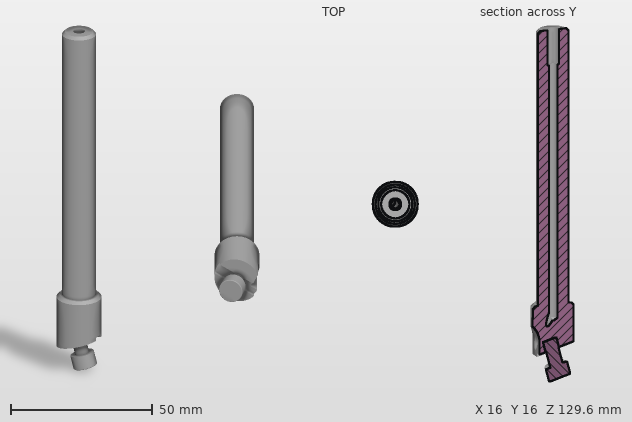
import cadquery as cq
import math

TOTAL_HEIGHT = 129.6
SHANK_DIAMETER = 12.0
SHANK_CHAMFER = 1.0
COLLAR_DIAMETER = 16.0
COLLAR_RADIUS = COLLAR_DIAMETER / 2
COLLAR_TOP = 28.5
COLLAR_CHAMFER = 1.0

TILT_DEGREES = 15.0
TILT = math.radians(TILT_DEGREES)
TILT_SLOPE = math.tan(TILT)

SLOT_WIDTH = 4.0
SLOT_DEPTH = 1.3

POCKET_FLOOR_X = -5.3
POCKET_CURVE_START_Z = 14.8
POCKET_CURVE_RADIUS = 8.7

MOUTH_DIAMETER = 4.1
MOUTH_DEPTH = 13.0
BORE_DIAMETER = 3.0
BORE_BOTTOM = 23.3
BORE_TIP_DEGREES = 118.0
BORE_TIP_DEPTH = BORE_DIAMETER / 2 / math.tan(math.radians(BORE_TIP_DEGREES / 2))
OUTLET_DIAMETER = 2.5
OUTLET_START_Z = 25.9
OUTLET_Y = 2.9
OUTLET_Z = 14.1

STEM_DIAMETER = 5.0
STEM_ENGAGEMENT = 5.2
STEM_EXPOSED = 4.7
HEAD_DIAMETER = 8.5
HEAD_LENGTH = 5.0
HEAD_ROUNDING = 0.3

FACE_CENTRE_Z = (
    (STEM_EXPOSED + HEAD_LENGTH - HEAD_ROUNDING) * math.cos(TILT)
    + (HEAD_DIAMETER / 2 - HEAD_ROUNDING) * math.sin(TILT)
    + HEAD_ROUNDING
)

MARGIN = 2.6
COLLAR_BASE = FACE_CENTRE_Z - COLLAR_RADIUS * TILT_SLOPE

tilted_face = cq.Plane(
    origin=(0, 0, FACE_CENTRE_Z),
    xDir=(1, 0, TILT_SLOPE),
    normal=(-TILT_SLOPE, 0, 1),
)


def make_shank_and_collar():
    shank = (
        cq.Workplane("XY", origin=(0, 0, COLLAR_TOP))
        .circle(SHANK_DIAMETER / 2)
        .extrude(TOTAL_HEIGHT - COLLAR_TOP)
        .faces(">Z")
        .chamfer(SHANK_CHAMFER)
    )
    collar = (
        cq.Workplane("XY", origin=(0, 0, COLLAR_BASE - MARGIN))
        .circle(COLLAR_RADIUS)
        .extrude(COLLAR_TOP - COLLAR_BASE + MARGIN)
        .faces(">Z")
        .chamfer(COLLAR_CHAMFER)
    )
    below_face = (
        cq.Workplane(tilted_face)
        .rect(2 * COLLAR_DIAMETER, 2 * COLLAR_DIAMETER)
        .extrude(-COLLAR_DIAMETER)
    )
    return collar.cut(below_face).union(shank)


def make_cross_slot():
    return (
        cq.Workplane(tilted_face)
        .rect(2 * COLLAR_DIAMETER, SLOT_WIDTH)
        .extrude(SLOT_DEPTH)
    )


def make_chip_pocket():
    """Cutter on the +Y side of the mid-plane, open to -X and downwards."""
    outer_x = -COLLAR_RADIUS - MARGIN
    curve_centre_x = POCKET_FLOOR_X - POCKET_CURVE_RADIUS

    def curve_height(x):
        return POCKET_CURVE_START_Z + math.sqrt(POCKET_CURVE_RADIUS**2 - (x - curve_centre_x) ** 2)

    middle_x = (outer_x + POCKET_FLOOR_X) / 2
    return (
        cq.Workplane("XZ")
        .moveTo(POCKET_FLOOR_X, COLLAR_BASE - MARGIN)
        .lineTo(POCKET_FLOOR_X, POCKET_CURVE_START_Z)
        .threePointArc((middle_x, curve_height(middle_x)), (outer_x, curve_height(outer_x)))
        .lineTo(outer_x, COLLAR_BASE - MARGIN)
        .close()
        .extrude(-COLLAR_RADIUS)
    )


def make_coolant_passage():
    bore = (
        cq.Workplane("XZ")
        .moveTo(0, BORE_BOTTOM - BORE_TIP_DEPTH)
        .lineTo(BORE_DIAMETER / 2, BORE_BOTTOM)
        .lineTo(BORE_DIAMETER / 2, TOTAL_HEIGHT - MOUTH_DEPTH)
        .lineTo(MOUTH_DIAMETER / 2, TOTAL_HEIGHT - MOUTH_DEPTH)
        .lineTo(MOUTH_DIAMETER / 2, TOTAL_HEIGHT)
        .lineTo(0, TOTAL_HEIGHT)
        .close()
        .revolve(360, (0, 0, 0), (0, 1, 0))
    )
    outlet_start = cq.Vector(0, 0, OUTLET_START_Z)
    run = cq.Vector(POCKET_FLOOR_X, OUTLET_Y, OUTLET_Z) - outlet_start
    outlet = cq.Solid.makeCylinder(OUTLET_DIAMETER / 2, run.Length + MARGIN, outlet_start, run)
    return bore.union(cq.Workplane(outlet))


def make_stem():
    return (
        cq.Workplane(tilted_face)
        .workplane(offset=-STEM_EXPOSED)
        .circle(STEM_DIAMETER / 2)
        .extrude(STEM_EXPOSED + STEM_ENGAGEMENT)
    )


def make_holder():
    return (
        make_shank_and_collar()
        .cut(make_cross_slot())
        .cut(make_chip_pocket())
        .cut(make_coolant_passage())
        .cut(make_stem())
    )


def make_screw():
    head = (
        cq.Workplane(tilted_face)
        .workplane(offset=-STEM_EXPOSED)
        .circle(HEAD_DIAMETER / 2)
        .extrude(-HEAD_LENGTH)
        .faces("<Z")
        .edges()
        .fillet(HEAD_ROUNDING)
    )
    return make_stem().union(head)


holder = make_holder()
screw = make_screw()

result = cq.Compound.makeCompound([holder.val(), screw.val()])